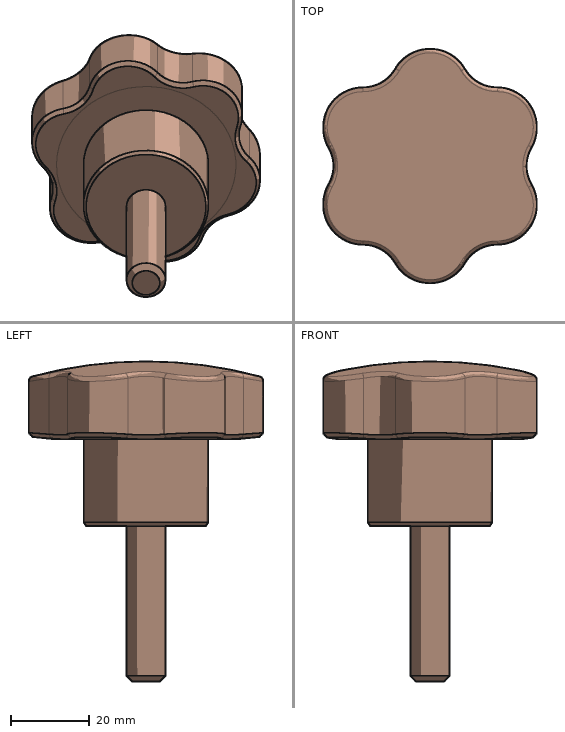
import cadquery as cq
import math

total_height = 82.0
stud_length = 39.85
hub_height = 22.1
head_base = stud_length + hub_height

head_radius = 30.0
lobe_count = 6
lobe_radius = 10.3
lobe_centre = head_radius - lobe_radius
lobe_pitch = 360 / lobe_count
tangent_angle = 30.0
dome_radius = 112.3
rim_fillet = 1.3
underside_chamfer = 1.0
underside_flat_radius = 23.0
underside_rise = 0.7
envelope_clearance = 1.6

hub_diameter = 32.0
hub_chamfer_width = 0.65
hub_chamfer_height = 1.0
stud_diameter = 10.0
stud_chamfer = 1.5


def polar(radius, angle):
    """Point at a radius and an angle in degrees from +X."""
    return (radius * math.cos(math.radians(angle)), radius * math.sin(math.radians(angle)))


def lobed_outline():
    """Closed outline of alternating convex lobes and concave grooves, one lobe on +Y."""
    tangent_x = lobe_radius * math.cos(math.radians(tangent_angle))
    tangent_y = lobe_centre + lobe_radius * math.sin(math.radians(tangent_angle))
    tangent_radius = math.hypot(tangent_x, tangent_y)
    half_lobe = math.degrees(math.atan2(tangent_x, tangent_y))

    half_pitch = lobe_pitch / 2
    centre_to_groove = (
        lobe_centre
        * math.sin(math.radians(half_pitch))
        / math.sin(math.radians(90 - tangent_angle - half_pitch))
    )
    groove_radius = centre_to_groove - lobe_radius
    groove_centre = (
        lobe_centre
        * math.cos(math.radians(tangent_angle))
        / math.sin(math.radians(90 - tangent_angle - half_pitch))
    )
    valley_radius = groove_centre - groove_radius

    outline = cq.Workplane("XY").workplane(offset=head_base)
    outline = outline.moveTo(*polar(tangent_radius, 90 - half_lobe))
    for index in range(lobe_count):
        axis = 90 + index * lobe_pitch
        outline = outline.threePointArc(
            polar(head_radius, axis), polar(tangent_radius, axis + half_lobe)
        )
        outline = outline.threePointArc(
            polar(valley_radius, axis + half_pitch),
            polar(tangent_radius, axis + lobe_pitch - half_lobe),
        )
    return outline.close()


def dome_height(radius):
    """Height of the spherical top at a distance from the axis."""
    return total_height - dome_radius + math.sqrt(dome_radius**2 - radius**2)


def head_envelope():
    """Revolved body with a domed top and an underside that rises towards the rim."""
    slope = underside_rise / (head_radius - underside_flat_radius)
    outer = head_radius + envelope_clearance
    outer_base = head_base + slope * (outer - underside_flat_radius)
    return (
        cq.Workplane("XZ")
        .moveTo(0, head_base)
        .lineTo(underside_flat_radius, head_base)
        .lineTo(outer, outer_base)
        .lineTo(outer, dome_height(outer))
        .threePointArc((outer / 2, dome_height(outer / 2)), (0, total_height))
        .close()
        .revolve(360, (0, 0, 0), (0, 1, 0))
    )


def make_head():
    prism = lobed_outline().extrude(total_height - head_base)
    head = prism.intersect(head_envelope())
    head = head.faces(">Z").edges().fillet(rim_fillet)

    rim_zone = cq.selectors.BoxSelector(
        (-head_radius, -head_radius, head_base + underside_rise / 10),
        (head_radius, head_radius, head_base + 2 * underside_rise),
    )
    return head.edges(rim_zone).chamfer(underside_chamfer)


def make_hub_and_stud():
    hub_radius = hub_diameter / 2
    stud_radius = stud_diameter / 2
    return (
        cq.Workplane("XZ")
        .moveTo(0, 0)
        .lineTo(stud_radius - stud_chamfer, 0)
        .lineTo(stud_radius, stud_chamfer)
        .lineTo(stud_radius, stud_length)
        .lineTo(hub_radius - hub_chamfer_width, stud_length)
        .lineTo(hub_radius, stud_length + hub_chamfer_height)
        .lineTo(hub_radius, head_base)
        .lineTo(0, head_base)
        .close()
        .revolve(360, (0, 0, 0), (0, 1, 0))
    )


result = make_head().union(make_hub_and_stud())